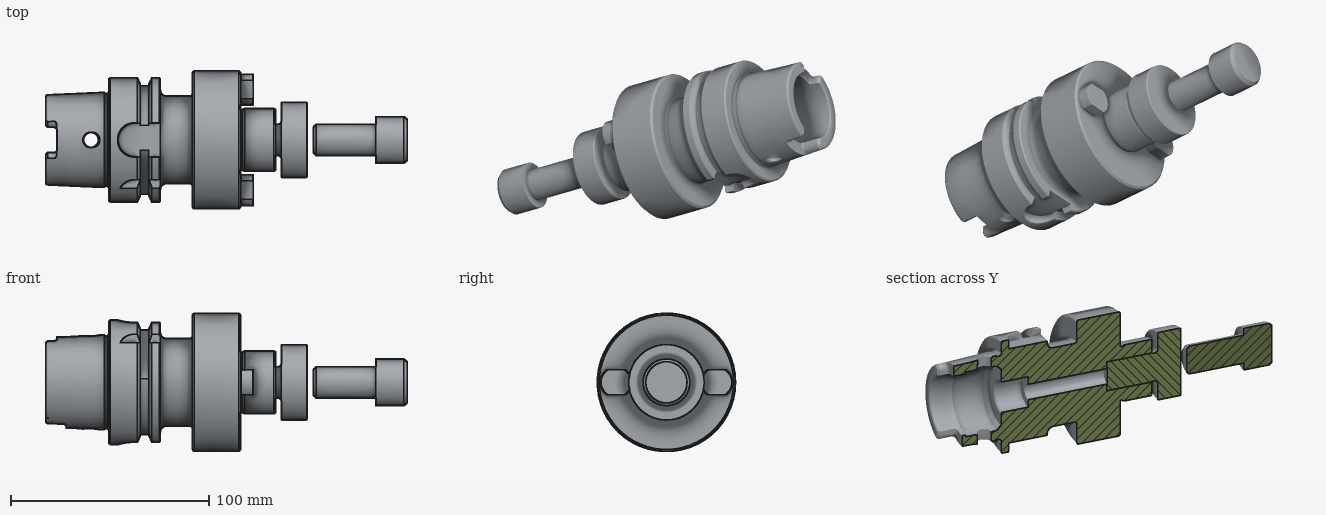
import cadquery as cq
import math


SHANK_LENGTH = 32.0
SHANK_END_RADIUS = 22.75
SHANK_BASE_RADIUS = 24.05
SHANK_END_FILLET = 1.3
UNDERCUT_LENGTH = 2.4
UNDERCUT_DEPTH = 0.6
UNDERCUT_WALL_RUN = 0.3
UNDERCUT_EXIT_RUN = 1.2
UNDERCUT_EXIT_RISE = 1.0
FACE_RELIEF_RADIUS = 25.4
FACE_RELIEF_DEPTH = 0.3

BORE_RADIUS = 34.0 / 2
BORE_CHAMFER = 0.5
BORE_STRAIGHT_LENGTH = 12.7
CLAMP_RECESS_RADIUS = 18.0
BORE_FLOOR_RADIUS = 15.65
BORE_FLOOR_X = 0.0
COOLANT_SEAT_RADIUS = 16.76 / 2
COOLANT_SEAT_CHAMFER = 0.7
COOLANT_SEAT_DEPTH = 15.0
COOLANT_PASSAGE_RADIUS = 8.4 / 2

CROSS_HOLE_X = -9.1
CROSS_HOLE_RADIUS = 7.5 / 2
CROSS_HOLE_MOUTH_RADIUS = 8.4 / 2

DRIVE_SLOT_WIDTH = 12.69
DRIVE_SLOT_ROUNDING = 3.0
DRIVE_SLOT_ROUNDING_START = 17.9
DRIVE_SLOT_INNER_HEIGHT = 10.0
DRIVE_SLOT_FLOOR_FILLET = 1.6
DRIVE_SLOT_MOUTH_CHAMFER = 1.1
UPPER_SLOT_DEPTH = 5.7
LOWER_SLOT_DEPTH = 10.3

FLANGE_RADIUS = 63.0 / 2
FLANGE_LENGTH = 26.0
FLANGE_CHAMFER = 0.7
GROOVE_CENTRE_X = 18.0
GROOVE_FLOOR_WIDTH = 4.2
GROOVE_MOUTH_WIDTH = 7.4
GROOVE_FLOOR_RADIUS = 55.0 / 2
GROOVE_WALL_RADIUS = 28.1
GROOVE_FLAT_DISTANCE = 21.55
GROOVE_FLAT_ANGLE = 42.0

KEYWAY_RADIUS = 8.4
KEYWAY_END_X = 13.0
KEYWAY_FLOOR_HEIGHT = 26.5
KEYWAY_EDGE_BREAK = 0.3
NOTCH_CORNER = 20.05

NECK_RADIUS = 44.45 / 2
NECK_FLANGE_FILLET = 2.8
NECK_COLLAR_FILLET = 1.0
COLLAR_RADIUS = 69.85 / 2
COLLAR_START_X = 42.0
COLLAR_END_X = 66.5
COLLAR_CHAMFER = 1.0
PILOT_RADIUS = 31.75 / 2
PILOT_END_X = 84.1
PILOT_RELIEF_DEPTH = 0.65
PILOT_RELIEF_LENGTH = 2.0
PILOT_RELIEF_STRAIGHT = 0.7
PILOT_CHAMFER_LENGTH = 0.9
PILOT_CHAMFER_DEPTH = 0.5

KEY_ROUND_RADIUS = 15.75 / 2
KEY_WIDTH = 12.7
KEY_HEIGHT = 6.35
KEY_OFFSET = 25.4
KEY_CHAMFER = 0.25

STUD_RADIUS = 15.88 / 2
STUD_INSERTION = 25.0
STUD_FILLET = 1.6
DISC_RADIUS = 38.1 / 2
DISC_START_X = 87.0
DISC_LENGTH = 13.0
DISC_FILLET = 0.7

SCREW_START_X = 103.1
SCREW_END_X = 182.67 - SHANK_LENGTH
SCREW_RADIUS = 15.88 / 2
SCREW_TIP_CHAMFER_LENGTH = 1.5
SCREW_TIP_CHAMFER_DEPTH = 1.5
SCREW_HEAD_RADIUS = 23.6 / 2
SCREW_HEAD_LENGTH = 15.9
SCREW_HEAD_CHAMFER_LENGTH = 1.8
SCREW_HEAD_CHAMFER_DEPTH = 1.4

CLEARANCE = 50.0

PICK_MARGIN = 0.1


def revolve_outline(points):
    """Solid of revolution about X from (x, radius) points; ends close on the axis."""
    outline = cq.Workplane("XY").moveTo(points[0][0], 0).lineTo(*points[0])
    for point in points[1:]:
        outline = outline.lineTo(*point)
    outline = outline.lineTo(points[-1][0], 0).close()
    return outline.revolve(360, (0, 0, 0), (1, 0, 0))


def cylinder_x(start_x, end_x, radius):
    """Cylinder along the X axis."""
    return cq.Workplane("YZ", origin=(start_x, 0, 0)).circle(radius).extrude(end_x - start_x)


def shank_blank():
    """Outer form of the taper shank, with the undercut beside the flange."""
    end_x = -SHANK_LENGTH
    undercut_radius = SHANK_BASE_RADIUS - UNDERCUT_DEPTH
    shank = revolve_outline([
        (end_x, SHANK_END_RADIUS),
        (-UNDERCUT_LENGTH, SHANK_BASE_RADIUS),
        (-UNDERCUT_LENGTH + UNDERCUT_WALL_RUN, undercut_radius),
        (FACE_RELIEF_DEPTH - UNDERCUT_EXIT_RUN, undercut_radius),
        (FACE_RELIEF_DEPTH, undercut_radius + UNDERCUT_EXIT_RISE),
    ])
    return shank.faces("<X").edges().fillet(SHANK_END_FILLET)


def flange_blank():
    """Gripper flange with its trapezoidal groove and the relief ring in its face."""
    floor_half = GROOVE_FLOOR_WIDTH / 2
    mouth_half = GROOVE_MOUTH_WIDTH / 2
    flange = revolve_outline([
        (0, FLANGE_RADIUS - FLANGE_CHAMFER),
        (FLANGE_CHAMFER, FLANGE_RADIUS),
        (GROOVE_CENTRE_X - mouth_half, FLANGE_RADIUS),
        (GROOVE_CENTRE_X - floor_half, GROOVE_WALL_RADIUS),
        (GROOVE_CENTRE_X - floor_half, GROOVE_FLOOR_RADIUS),
        (GROOVE_CENTRE_X + floor_half, GROOVE_FLOOR_RADIUS),
        (GROOVE_CENTRE_X + floor_half, GROOVE_WALL_RADIUS),
        (GROOVE_CENTRE_X + mouth_half, FLANGE_RADIUS),
        (FLANGE_LENGTH - FLANGE_CHAMFER, FLANGE_RADIUS),
        (FLANGE_LENGTH, FLANGE_RADIUS - FLANGE_CHAMFER),
    ])
    return flange.cut(cylinder_x(0, FACE_RELIEF_DEPTH, FACE_RELIEF_RADIUS))


def groove_flat():
    """Cutter for the flat on the groove floor, facing -Y and +Z."""
    cutter = cq.Workplane("XY").box(
        GROOVE_FLOOR_WIDTH, CLEARANCE, CLEARANCE, centered=(True, False, True)
    )
    cutter = cutter.translate((GROOVE_CENTRE_X, GROOVE_FLAT_DISTANCE, 0))
    return cutter.rotate((0, 0, 0), (1, 0, 0), 180 - GROOVE_FLAT_ANGLE)


def round_ended_slot(centre_y, floor_z):
    """Slot cutter open towards +X and +Z, with a round end and a flat floor."""
    slot = cq.Workplane("XY", origin=(KEYWAY_END_X, centre_y, floor_z))
    slot = slot.moveTo(CLEARANCE, -KEYWAY_RADIUS).lineTo(0, -KEYWAY_RADIUS)
    slot = slot.threePointArc((-KEYWAY_RADIUS, 0), (0, KEYWAY_RADIUS))
    return slot.lineTo(CLEARANCE, KEYWAY_RADIUS).close().extrude(CLEARANCE)


def flange_with_cutouts():
    """Flange with two opposite keyways, the orientation notch and the groove flat."""
    keyway = round_ended_slot(0, KEYWAY_FLOOR_HEIGHT)
    notch = round_ended_slot(-NOTCH_CORNER - KEYWAY_RADIUS, NOTCH_CORNER)
    opposite_keyway = keyway.rotate((0, 0, 0), (1, 0, 0), 180)
    flange = flange_blank().cut(keyway).cut(opposite_keyway)
    rim_z = math.sqrt(FLANGE_RADIUS ** 2 - KEYWAY_RADIUS ** 2)
    for side in (-1, 1):
        rim = cq.selectors.BoxSelector(
            (0, -KEYWAY_RADIUS - PICK_MARGIN, side * (rim_z - PICK_MARGIN)),
            (FLANGE_LENGTH, KEYWAY_RADIUS + PICK_MARGIN, side * (FLANGE_RADIUS + PICK_MARGIN)),
        )
        flange = flange.edges(rim).chamfer(KEYWAY_EDGE_BREAK)
    return flange.cut(groove_flat()).cut(notch)


def neck():
    """Neck between flange and collar, filleted into both."""
    outer_fillet_radius = NECK_RADIUS + NECK_FLANGE_FILLET
    fillet_end_x = FLANGE_LENGTH + NECK_FLANGE_FILLET
    collar_fillet_x = COLLAR_START_X - NECK_COLLAR_FILLET
    diagonal = 1 - math.sqrt(0.5)
    flange_mid = (
        FLANGE_LENGTH + NECK_FLANGE_FILLET * diagonal,
        NECK_RADIUS + NECK_FLANGE_FILLET * diagonal,
    )
    collar_mid = (
        COLLAR_START_X - NECK_COLLAR_FILLET * diagonal,
        NECK_RADIUS + NECK_COLLAR_FILLET * diagonal,
    )
    outline = cq.Workplane("XY").moveTo(FLANGE_LENGTH, 0).lineTo(FLANGE_LENGTH, outer_fillet_radius)
    outline = outline.threePointArc(flange_mid, (fillet_end_x, NECK_RADIUS))
    outline = outline.lineTo(collar_fillet_x, NECK_RADIUS)
    outline = outline.threePointArc(collar_mid, (COLLAR_START_X, NECK_RADIUS + NECK_COLLAR_FILLET))
    outline = outline.lineTo(COLLAR_START_X, 0).close()
    return outline.revolve(360, (0, 0, 0), (1, 0, 0))


def collar_and_pilot():
    """Contact collar and the pilot that centres the cutter."""
    relief_radius = PILOT_RADIUS - PILOT_RELIEF_DEPTH
    return revolve_outline([
        (COLLAR_START_X, COLLAR_RADIUS - COLLAR_CHAMFER),
        (COLLAR_START_X + COLLAR_CHAMFER, COLLAR_RADIUS),
        (COLLAR_END_X - COLLAR_CHAMFER, COLLAR_RADIUS),
        (COLLAR_END_X, COLLAR_RADIUS - COLLAR_CHAMFER),
        (COLLAR_END_X, relief_radius),
        (COLLAR_END_X + PILOT_RELIEF_STRAIGHT, relief_radius),
        (COLLAR_END_X + PILOT_RELIEF_LENGTH, PILOT_RADIUS),
        (PILOT_END_X - PILOT_CHAMFER_LENGTH, PILOT_RADIUS),
        (PILOT_END_X, PILOT_RADIUS - PILOT_CHAMFER_DEPTH),
    ])


def axial_bores():
    """Cutter for the shank bore, clamp recess, coolant seat, coolant passage and stud hole."""
    mouth_x = -SHANK_LENGTH
    shoulder_x = mouth_x + BORE_STRAIGHT_LENGTH
    floor_bevel = CLAMP_RECESS_RADIUS - BORE_FLOOR_RADIUS
    seat_floor_x = BORE_FLOOR_X + COOLANT_SEAT_DEPTH
    stud_end_x = PILOT_END_X - STUD_INSERTION
    return revolve_outline([
        (mouth_x, BORE_RADIUS + BORE_CHAMFER),
        (mouth_x + BORE_CHAMFER, BORE_RADIUS),
        (shoulder_x, BORE_RADIUS),
        (shoulder_x, CLAMP_RECESS_RADIUS),
        (BORE_FLOOR_X - floor_bevel, CLAMP_RECESS_RADIUS),
        (BORE_FLOOR_X, BORE_FLOOR_RADIUS),
        (BORE_FLOOR_X, COOLANT_SEAT_RADIUS + COOLANT_SEAT_CHAMFER),
        (BORE_FLOOR_X + COOLANT_SEAT_CHAMFER, COOLANT_SEAT_RADIUS),
        (seat_floor_x, COOLANT_SEAT_RADIUS),
        (seat_floor_x, COOLANT_PASSAGE_RADIUS),
        (stud_end_x, COOLANT_PASSAGE_RADIUS),
        (stud_end_x, STUD_RADIUS),
        (PILOT_END_X, STUD_RADIUS),
    ])


def cross_hole():
    """Cutter for the hole through both shank walls, countersunk at each mouth."""
    along_shank = (CROSS_HOLE_X + SHANK_LENGTH) / SHANK_LENGTH
    surface_z = SHANK_END_RADIUS + (SHANK_BASE_RADIUS - SHANK_END_RADIUS) * along_shank
    sink_depth = CROSS_HOLE_MOUTH_RADIUS - CROSS_HOLE_RADIUS
    hole = cq.Workplane("XY", origin=(CROSS_HOLE_X, 0, 0)).circle(CROSS_HOLE_RADIUS)
    hole = hole.extrude(CLEARANCE, both=True)
    for side in (-1, 1):
        sink = cq.Solid.makeCone(
            CROSS_HOLE_RADIUS,
            CROSS_HOLE_MOUTH_RADIUS + sink_depth,
            2 * sink_depth,
            cq.Vector(CROSS_HOLE_X, 0, side * (surface_z - sink_depth)),
            cq.Vector(0, 0, side),
        )
        hole = hole.union(cq.Workplane(sink))
    return hole


def drive_slot_outline(x, widening):
    """Slot cross-section at x; its walls roll outwards into the shank surface."""
    half_width = DRIVE_SLOT_WIDTH / 2
    inner = half_width + widening
    arc_radius = DRIVE_SLOT_ROUNDING - widening
    arc_y = half_width + DRIVE_SLOT_ROUNDING
    arc_z = DRIVE_SLOT_ROUNDING_START
    mid_y = arc_y - arc_radius * math.sqrt(0.5)
    mid_z = arc_z + arc_radius * math.sqrt(0.5)
    top_z = arc_z + arc_radius
    outline = cq.Workplane("YZ", origin=(x, 0, 0)).moveTo(-inner, DRIVE_SLOT_INNER_HEIGHT)
    outline = outline.lineTo(inner, DRIVE_SLOT_INNER_HEIGHT).lineTo(inner, arc_z)
    outline = outline.threePointArc((mid_y, mid_z), (arc_y, top_z))
    outline = outline.lineTo(arc_y, CLEARANCE).lineTo(-arc_y, CLEARANCE).lineTo(-arc_y, top_z)
    return outline.threePointArc((-mid_y, mid_z), (-inner, arc_z)).close()


def drive_slot(depth):
    """Cutter for one drive slot, opening towards +Z."""
    mouth_x = -SHANK_LENGTH
    slot = drive_slot_outline(mouth_x, 0).extrude(depth)
    slot = slot.faces(">X").edges(cq.selectors.BoxSelector(
        (mouth_x, -DRIVE_SLOT_WIDTH, DRIVE_SLOT_INNER_HEIGHT + PICK_MARGIN),
        (CLEARANCE, DRIVE_SLOT_WIDTH, DRIVE_SLOT_ROUNDING_START + DRIVE_SLOT_ROUNDING),
    )).fillet(DRIVE_SLOT_FLOOR_FILLET)
    wide_wire = drive_slot_outline(mouth_x, DRIVE_SLOT_MOUTH_CHAMFER).val()
    slot_wire = drive_slot_outline(mouth_x + DRIVE_SLOT_MOUTH_CHAMFER, 0).val()
    flare = cq.Solid.makeLoft([wide_wire, slot_wire], True)
    return slot.union(cq.Workplane(flare))


def build_holder():
    """One-piece holder: shank, flange, neck, collar and pilot."""
    body = shank_blank().union(flange_with_cutouts()).union(neck()).union(collar_and_pilot())
    body = body.cut(axial_bores()).cut(cross_hole())
    body = body.cut(drive_slot(UPPER_SLOT_DEPTH))
    return body.cut(drive_slot(LOWER_SLOT_DEPTH).rotate((0, 0, 0), (1, 0, 0), 180))


def build_drive_key(centre_y):
    """Round drive key with two flats, standing on the collar face."""
    key = cq.Workplane("YZ", origin=(COLLAR_END_X, centre_y, 0))
    key = key.circle(KEY_ROUND_RADIUS).extrude(KEY_HEIGHT)
    key = key.edges("%CIRCLE").chamfer(KEY_CHAMFER)
    flats = cq.Workplane("XY", origin=(COLLAR_END_X, centre_y, 0)).box(
        CLEARANCE, CLEARANCE, KEY_WIDTH
    )
    return key.intersect(flats)


def build_clamping_disc():
    """Disc with a stud that fills the hole in the pilot."""
    disc = cylinder_x(DISC_START_X, DISC_START_X + DISC_LENGTH, DISC_RADIUS)
    disc = disc.edges().fillet(DISC_FILLET)
    disc = disc.union(cylinder_x(PILOT_END_X - STUD_INSERTION, DISC_START_X, STUD_RADIUS))
    stud_root = disc.faces(cq.selectors.NearestToPointSelector((DISC_START_X, DISC_RADIUS / 2, 0)))
    return stud_root.edges(cq.selectors.RadiusNthSelector(0)).fillet(STUD_FILLET)


def build_cap_screw():
    """Cylinder-head screw waiting in line with the disc."""
    head_start_x = SCREW_END_X - SCREW_HEAD_LENGTH
    return revolve_outline([
        (SCREW_START_X, SCREW_RADIUS - SCREW_TIP_CHAMFER_DEPTH),
        (SCREW_START_X + SCREW_TIP_CHAMFER_LENGTH, SCREW_RADIUS),
        (head_start_x, SCREW_RADIUS),
        (head_start_x, SCREW_HEAD_RADIUS),
        (SCREW_END_X - SCREW_HEAD_CHAMFER_LENGTH, SCREW_HEAD_RADIUS),
        (SCREW_END_X, SCREW_HEAD_RADIUS - SCREW_HEAD_CHAMFER_DEPTH),
    ])


holder = build_holder()
drive_keys = []
for side in (-1, 1):
    drive_keys.append(build_drive_key(side * KEY_OFFSET).val())
clamping_disc = build_clamping_disc()
cap_screw = build_cap_screw()

result = cq.Compound.makeCompound([
    holder.val(),
    *drive_keys,
    clamping_disc.val(),
    cap_screw.val(),
])